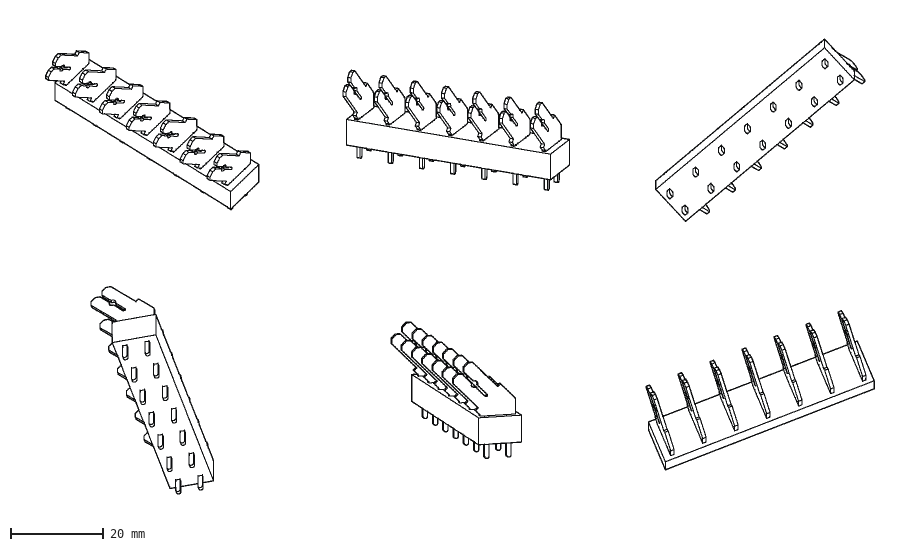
import cadquery as cq
import math

housing_length = 49.0
housing_width = 9.8
housing_height = 6.0

terminal_count = 7
terminal_pitch = 7.5
terminal_thickness = 0.8

body_width = 8.1

tab_angle = math.radians(45.0)
tab_width = 6.3
tab_tip_chamfer = 0.75
shoulder_width = 8.0
axis_start_height = 1.89

shoulder_end = 3.15
slot_end = 3.5
hole_distance = 7.5
tab_length = 11.9

slot_width = 0.6
hole_diameter = 1.5

pin_spacing = 5.0
pin_width = 1.0
pin_protrusion = 3.5

axis_start_z = housing_height + axis_start_height
pin_centers = (-pin_spacing / 2, pin_spacing / 2)
terminal_centers = [
    (index - (terminal_count - 1) / 2) * terminal_pitch for index in range(terminal_count)
]


def tab_point(along, across):
    """(Y, Z) of a point given along the tab axis and across it (positive is up and back)."""
    y = -along * math.sin(tab_angle) + across * math.cos(tab_angle)
    z = axis_start_z + along * math.cos(tab_angle) + across * math.sin(tab_angle)
    return y, z


def side_plane():
    """Side-profile plane (local x = +Y, local y = +Z) on the -X face of a terminal at X = 0."""
    return cq.Workplane("YZ", origin=(-terminal_thickness / 2, 0, 0))


def make_plate():
    """Body, shoulder and tab as one flat plate, before the tab is slotted."""
    body_half = body_width / 2
    shoulder_half = shoulder_width / 2
    tab_half = tab_width / 2
    slope_drop = body_half / math.tan(tab_angle)
    edge_offset = shoulder_half / math.sin(tab_angle)
    outline = [
        (body_half, housing_height),
        (body_half, axis_start_z + edge_offset - slope_drop),
        tab_point(shoulder_end, shoulder_half),
        tab_point(shoulder_end, tab_half),
        tab_point(tab_length, tab_half),
        tab_point(tab_length, -tab_half),
        tab_point(shoulder_end, -tab_half),
        tab_point(shoulder_end, -shoulder_half),
        (-body_half, axis_start_z - edge_offset + slope_drop),
        (-body_half, housing_height),
    ]
    return side_plane().polyline(outline).close().extrude(terminal_thickness)


def make_slot():
    """Round-bottomed slot, open at the tab tip, joined with its round hole."""
    half = slot_width / 2
    slot = (
        side_plane()
        .moveTo(*tab_point(tab_length, half))
        .lineTo(*tab_point(slot_end + half, half))
        .threePointArc(tab_point(slot_end, 0), tab_point(slot_end + half, -half))
        .lineTo(*tab_point(tab_length, -half))
        .close()
        .extrude(terminal_thickness)
    )
    hole = (
        side_plane()
        .center(*tab_point(hole_distance, 0))
        .circle(hole_diameter / 2)
        .extrude(terminal_thickness)
    )
    return slot.union(hole)


def chamfer_prong_tips(tab):
    """Chamfer both corners at the tip of each prong."""
    tip_corners = [
        tab_point(tab_length, side * offset)
        for side in (-1, 1)
        for offset in (slot_width / 2, tab_width / 2)
    ]
    for y, z in tip_corners:
        corner_edge = tab.edges(cq.selectors.NearestToPointSelector((0, y, z)))
        tab = corner_edge.chamfer(tab_tip_chamfer)
    return tab


def make_pin(center_y):
    """Solder pin through the housing, ending in a half circle below it."""
    half = pin_width / 2
    return (
        side_plane()
        .moveTo(center_y - half, housing_height)
        .lineTo(center_y - half, half - pin_protrusion)
        .threePointArc((center_y, -pin_protrusion), (center_y + half, half - pin_protrusion))
        .lineTo(center_y + half, housing_height)
        .close()
        .extrude(terminal_thickness)
    )


def make_terminal(center_x):
    """One complete terminal, a single solid."""
    terminal = chamfer_prong_tips(make_plate().cut(make_slot()))
    for center_y in pin_centers:
        terminal = terminal.union(make_pin(center_y))
    return terminal.translate((center_x, 0, 0))


def make_housing():
    """Bar with a matching rectangular hole for every solder pin."""
    hole_positions = [(x, y) for x in terminal_centers for y in pin_centers]
    pin_holes = (
        cq.Workplane("XY")
        .pushPoints(hole_positions)
        .rect(terminal_thickness, pin_width)
        .extrude(housing_height)
    )
    bar = cq.Workplane("XY").box(
        housing_length, housing_width, housing_height, centered=(True, True, False)
    )
    return bar.cut(pin_holes)


housing = make_housing()
terminals = [make_terminal(center_x) for center_x in terminal_centers]

result = cq.Compound.makeCompound([housing.val(), *[terminal.val() for terminal in terminals]])